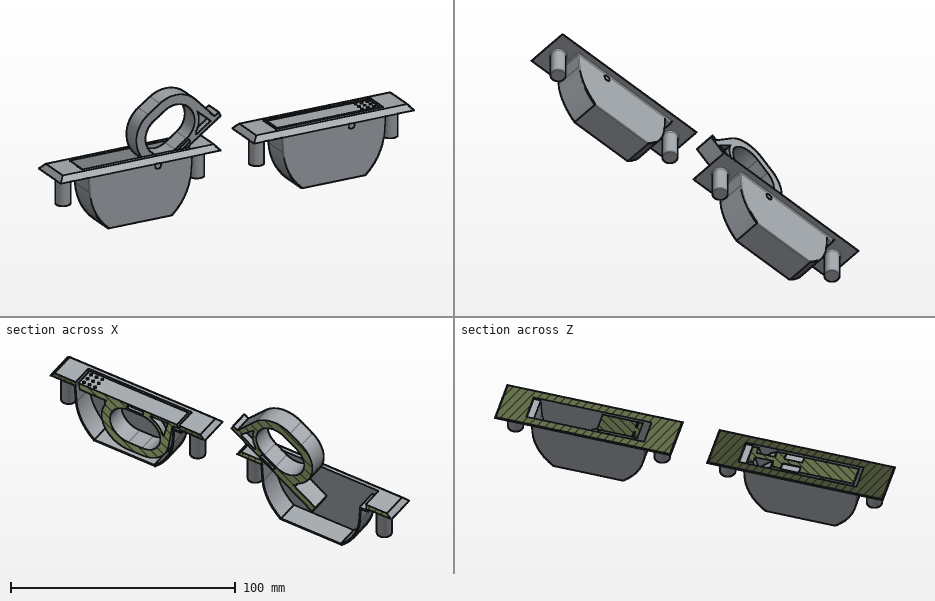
import cadquery as cq
import math


total_length = 179.5
plate_length = 81.3
plate_width = 20.5
plate_thickness = 2.7
plate_bevel = 2.3

end_wall = 0.9
side_wall = 1.0
opening_length = 54.4
opening_width = 11.7
ledge_depth = 0.5
ledge_floor = 1.0

tub_depth = 28.0
tub_top_length = 53.0
tub_floor_length = 32.3
tub_straight_depth = 8.6
tub_wall_lean = 0.5

post_diameter = 7.0
post_length = 14.5
post_offset = 34.0
junction_round = 0.5
edge_round = 0.4

pivot_y = 10.6
pivot_drop = 2.5
pin_radius = 1.53

handle_width = 9.3
handle_length = 51.9
tip_reach = 36.6
bar_thickness = 3.8
tip_thickness = 2.2
tip_length = 2.3
tip_overhang = 0.4
heel_setback = 0.5
ring_outer_radius = 14.2
ring_wall = 4.7
ring_straight = 7.2
ring_tip_distance = 18.5
pocket_depth = 3.2
triangle_rim = 1.8
triangle_ring_margin = 2.2
triangle_tip_margin = 5.0
triangle_length = 9.0
triangle_height = 9.2
triangle_skew = 2.3
slot_length = 8.3
slot_height = 1.5
open_angle = 145.2

dimple_diameter = 1.0
dimple_depth = 0.5
dimple_pitch = 2.96
dimple_end_margin = 1.8

tub_width = opening_width + 2 * side_wall
tub_end_y = opening_length / 2 + end_wall
tub_middle_y = tub_end_y - tub_top_length / 2
housing_pitch = total_length - plate_length

bar_top = pivot_drop + plate_thickness
bar_bottom = bar_top - bar_thickness
tip_y = -tip_reach
heel_y = tip_y + handle_length
ring_inner_radius = ring_outer_radius - ring_wall
ring_middle_y = tip_y + ring_tip_distance + ring_straight / 2
ring_middle_z = bar_bottom - ring_inner_radius


def block(length_x, y_start, y_end, z_start, z_end):
    """Box centred on X = 0 between the given Y and Z limits."""
    box = cq.Workplane("XY").box(length_x, y_end - y_start, z_end - z_start, centered=(True, False, False))
    return box.translate((0, y_start, z_start))


def tub_solid(inset, width):
    """Tub with leaning end walls that curve in to a flat floor, shrunk by inset."""
    top_half = tub_top_length / 2 - inset
    straight_half = top_half - tub_wall_lean
    floor_half = tub_floor_length / 2 - inset / 2
    depth = tub_depth - inset
    half_outline = (
        cq.Workplane("YZ")
        .moveTo(0, 0)
        .lineTo(top_half, 0)
        .lineTo(straight_half, -tub_straight_depth)
        .tangentArcPoint((floor_half, -depth), relative=False)
        .lineTo(0, -depth)
        .close()
    )
    half = half_outline.extrude(width / 2, both=True)
    return half.union(half.mirror("XZ")).translate((0, tub_middle_y, 0))


def make_plate():
    """Face plate with all four sides bevelled over its full thickness."""
    taper = math.degrees(math.atan(plate_bevel / plate_thickness))
    return cq.Workplane("XY").rect(plate_width, plate_length).extrude(plate_thickness, taper=taper)


def make_tub_shell():
    """Outside of the tub and of the ledge at its -Y end, with rounded edges."""
    tub = tub_solid(0, tub_width).edges("not(|X or >Z)").fillet(edge_round)
    ledge = block(tub_width, -tub_end_y, tub_middle_y, -ledge_depth - ledge_floor, 0)
    ledge = ledge.faces("<Z").edges("<Y or |Y").fillet(edge_round)
    return tub.union(ledge)


def make_posts():
    """Mounting posts under both ends of the plate."""
    posts = (
        cq.Workplane("XY")
        .pushPoints([(0, -post_offset), (0, post_offset)])
        .circle(post_diameter / 2)
        .extrude(-post_length)
    )
    return posts.faces("<Z").edges().fillet(edge_round)


def make_cavity():
    """Space inside the housing: plate opening, ledge and tub interior."""
    opening_end = opening_length / 2
    opening = block(opening_width, -opening_end, opening_end, 0, plate_thickness)
    ledge = block(opening_width, -opening_end, tub_middle_y, -ledge_depth, 0)
    return tub_solid(end_wall, opening_width).union(opening).union(ledge)


def make_housing():
    """Bevelled face plate with a hollow tub, a fingertip ledge and two posts."""
    housing = make_plate().union(make_tub_shell()).union(make_posts())
    rim_margin = 1.8
    junctions = cq.selectors.BoxSelector(
        (-plate_width / 2 + rim_margin, -plate_length / 2 + rim_margin, -0.02),
        (plate_width / 2 - rim_margin, plate_length / 2 - rim_margin, 0.02),
    )
    housing = housing.edges(junctions).fillet(junction_round)
    pin_hole = make_pin().translate((0, pivot_y, -pivot_drop))
    return housing.cut(make_cavity()).cut(pin_hole)


def make_pin():
    """Pivot pin along X, ending flush with the outside of the tub."""
    return cq.Workplane("YZ").circle(pin_radius).extrude(tub_width / 2, both=True)


def ring_slab(radius):
    """Stadium-shaped slab along Y, as wide as the handle."""
    middle = cq.Workplane("YZ").center(ring_middle_y, ring_middle_z)
    return middle.slot2D(ring_straight + 2 * radius, 2 * radius).extrude(handle_width / 2, both=True)


def ring_tangent_point(corner_y, corner_z):
    """Point where a line from the given corner touches the tip side of the ring."""
    centre_y = ring_middle_y - ring_straight / 2
    offset_y = corner_y - centre_y
    offset_z = corner_z - ring_middle_z
    to_corner = math.atan2(offset_z, offset_y)
    angle = to_corner + math.acos(ring_outer_radius / math.hypot(offset_y, offset_z))
    return (
        centre_y + ring_outer_radius * math.cos(angle),
        ring_middle_z + ring_outer_radius * math.sin(angle),
    )


def make_handle():
    """Bar with a thin tip, a finger ring below it, side pockets, dimples and pivot pin."""
    tip_root_y = tip_y + tip_length
    tip_bottom = bar_top - tip_thickness
    touch_y, touch_z = ring_tangent_point(tip_root_y, tip_bottom)
    bar_and_web = (
        cq.Workplane("YZ")
        .moveTo(tip_y, bar_top)
        .lineTo(heel_y, bar_top)
        .lineTo(heel_y - heel_setback, bar_bottom)
        .lineTo(ring_middle_y, bar_bottom)
        .lineTo(touch_y, touch_z)
        .lineTo(tip_root_y, tip_bottom)
        .lineTo(tip_y - tip_overhang, tip_bottom)
        .close()
        .extrude(handle_width / 2, both=True)
    )
    below_bar_top = block(handle_width, tip_y, heel_y, ring_middle_z - ring_outer_radius, bar_top)
    outer_ring = ring_slab(ring_outer_radius).intersect(below_bar_top)
    handle = bar_and_web.union(outer_ring).cut(ring_slab(ring_inner_radius))
    return handle.cut(make_side_pockets()).cut(make_dimples()).union(make_pin())


def make_side_pockets():
    """Triangular pocket and slot, sunk into both sides of the handle."""
    triangle_top = bar_top - triangle_rim
    triangle_outline = [
        (tip_y + triangle_tip_margin, triangle_top),
        (tip_y + triangle_tip_margin + triangle_length, triangle_top),
        (tip_y + triangle_tip_margin + triangle_skew, triangle_top - triangle_height),
    ]
    triangle = cq.Workplane("YZ").polyline(triangle_outline).close().extrude(handle_width / 2, both=True)
    triangle = triangle.cut(ring_slab(ring_inner_radius + triangle_ring_margin))

    slot_middle_z = (bar_top + bar_bottom) / 2
    slot = block(handle_width, ring_middle_y - slot_length / 2, ring_middle_y + slot_length / 2,
                 slot_middle_z - slot_height / 2, slot_middle_z + slot_height / 2)

    web = block(handle_width - 2 * pocket_depth, tip_y, heel_y, ring_middle_z - ring_outer_radius, bar_top)
    return triangle.union(slot).cut(web)


def make_dimples():
    """Three by three grip dimples in the top face at the heel end."""
    middle_y = heel_y - dimple_end_margin - dimple_pitch
    return (
        cq.Workplane("XY", origin=(0, middle_y, bar_top))
        .rarray(dimple_pitch, dimple_pitch, 3, 3)
        .circle(dimple_diameter / 2)
        .extrude(-dimple_depth)
    )


bodies = []
for position, angle in enumerate([open_angle, 0]):
    housing_y = position * housing_pitch
    housing = make_housing().translate((0, housing_y, 0))
    handle = make_handle().rotate((0, 0, 0), (1, 0, 0), -angle)
    handle = handle.translate((0, housing_y + pivot_y, -pivot_drop))
    bodies.extend([*housing.solids().vals(), *handle.solids().vals()])

result = cq.Compound.makeCompound(bodies)